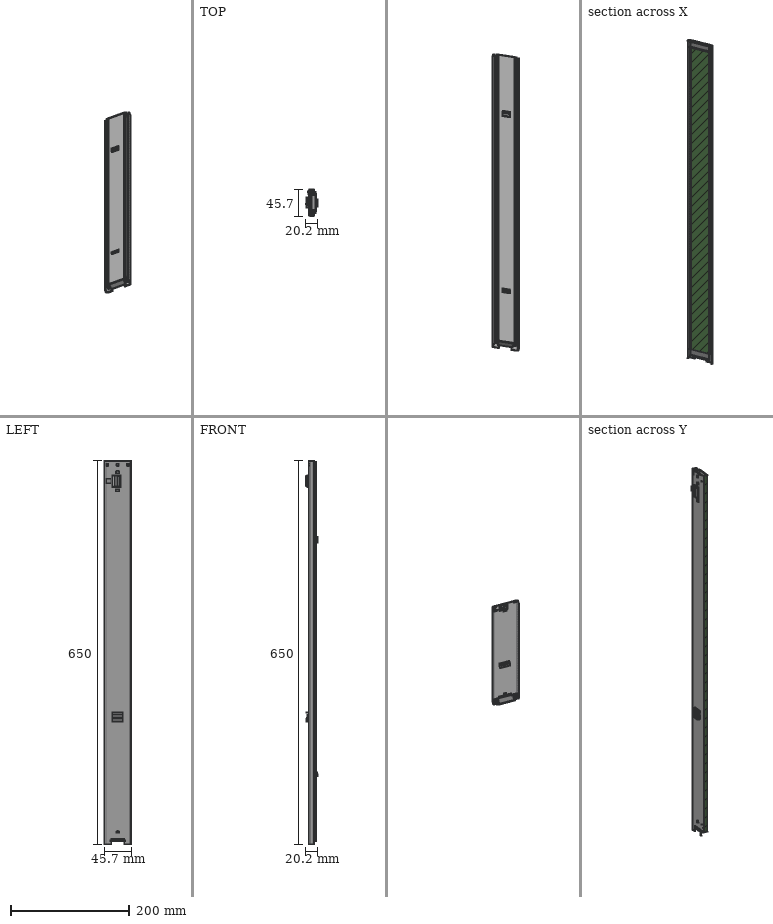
import cadquery as cq
import math


length = 650.0
outer_height = 45.7
overall_depth = 20.19
z_top = length / 2
z_bottom = -length / 2
x_min = -overall_depth / 2
x_max = overall_depth / 2

slide_depth = 12.7
outer_sheet = 1.5
middle_sheet = 1.2
inner_sheet = 1.5
cage_sheet = 0.6
gap = 0.4
outer_back = -5.0
outer_inside = outer_back + outer_sheet
outer_cage_back = outer_inside + gap
middle_back = outer_cage_back + cage_sheet + gap
inner_cage_back = middle_back + middle_sheet + gap
inner_flange_tip = inner_cage_back + cage_sheet + gap
inner_front = outer_back + slide_depth
middle_front = inner_front - 0.5
middle_tip_round = 1.1

outer_half = outer_height / 2
middle_half = 18.0
inner_half = 15.0
outer_cage_half = 19.6
inner_cage_half = 16.2

web_bend_radius = 2.9
roll_start = 2.0
roll_radius = 3.2
roll_angle = 60.0

inner_bottom = z_bottom + 5.0
middle_bottom = z_bottom + 7.3
members_top = z_top - 1.5
cage_end_setback = 12.0

notch_width = 21.6
notch_height = 9.5
corner_window = 3.6
corner_window_y = 17.4
end_setback = 7.0
end_hole_diameter = 4.4
lower_hole_width = 4.8
lower_hole_height = 3.4
lower_hole_z = z_bottom + 21.0
slot_width = 6.0
slot_height = 4.0
slot_offset = 15.5

lever_z = 290.5
lever_length = 20.0
lever_y_high = 9.0
lever_y_low = -5.4
lever_wall = -7.2
lever_shelf = -8.7
lever_shelf_y_high = 4.9
lever_shelf_y_low = 1.0
lever_peak_y = -2.9
lever_bevel_length = 1.8
lever_bevel_depth = 3.6
lug_y_tip = 19.5
lug_y_base = 12.5
lug_width = 8.0
lug_height = 2.0

catch_z_top = -101.0
catch_z_bottom = -117.0
catch_width = 17.6
catch_reach = 3.8
catch_sheet = 1.0
catch_step = 1.2
bridge_z_top = -105.5
bridge_bend_high_z = -109.5
bridge_bend_low_z = -112.5

hook_width = 13.0
hook_y = -1.0
upper_hook_z = 186.0
upper_hook_height = 5.0
upper_lip_z = 193.2
upper_lip_height = 3.2
lower_hook_z = -209.5
lower_hook_height = 9.0
lower_hook_flat = 3.0

stop_half_width = 13.0
stop_front = inner_front - inner_sheet


def box(x0, x1, y0, y1, z0, z1):
    return cq.Workplane("XY").box(x1 - x0, y1 - y0, z1 - z0, centered=False).translate((x0, y0, z0))


def channel(x_web, x_tip, half, sheet, z0, z1):
    """U channel whose flanges run from the web's outer face at x_web to x_tip."""
    toward_tip = math.copysign(1, x_tip - x_web)
    x_web_inside = x_web + toward_tip * sheet
    x_low, x_high = sorted((x_web, x_tip))
    hollow_low, hollow_high = sorted((x_web_inside, x_tip))
    body = box(x_low, x_high, -half, half, z0, z1)
    return body.cut(box(hollow_low, hollow_high, sheet - half, half - sheet, z0, z1))


def rolled_flange():
    """+Y flange of the outer member: a straight wall with its tip rolled inward."""
    centre_y = outer_half - roll_radius
    inner_radius = roll_radius - outer_sheet

    def on_roll(radius, degrees):
        angle = math.radians(degrees)
        return (roll_start + radius * math.sin(angle), centre_y + radius * math.cos(angle))

    return (
        cq.Workplane("XY", origin=(0, 0, z_bottom))
        .moveTo(outer_back, outer_half)
        .lineTo(roll_start, outer_half)
        .threePointArc(on_roll(roll_radius, roll_angle / 2), on_roll(roll_radius, roll_angle))
        .lineTo(*on_roll(inner_radius, roll_angle))
        .threePointArc(on_roll(inner_radius, roll_angle / 2), on_roll(inner_radius, 0))
        .lineTo(outer_inside, outer_half - outer_sheet)
        .lineTo(outer_back, outer_half - outer_sheet)
        .close()
        .extrude(length)
    )


def outer_profile():
    """Plain outer member: web and two rolled flanges, with round bends between them."""
    body = box(outer_back, outer_inside, -outer_half, outer_half, z_bottom, z_top)
    flange = rolled_flange()
    body = body.union(flange).union(flange.mirror("XZ"))
    for side in (-1, 1):
        outside_corner = cq.selectors.NearestToPointSelector((outer_back, side * outer_half, 0))
        body = body.edges("|Z").edges(outside_corner).fillet(web_bend_radius)
        flange_inside = side * (outer_half - outer_sheet)
        inside_corner = cq.selectors.NearestToPointSelector((outer_inside, flange_inside, 0))
        body = body.edges("|Z").edges(inside_corner).fillet(web_bend_radius - outer_sheet)
    return body


def web_window(y, z, width, height):
    """Rectangular cutter through the outer web."""
    return box(outer_back, outer_inside, y - width / 2, y + width / 2, z - height / 2, z + height / 2)


def arched_window(z, width, height):
    """Window on the web's centre line with its upper edge arched."""
    half = width / 2
    return (
        cq.Workplane("YZ", origin=(outer_back, 0, z))
        .moveTo(-half, -height / 2)
        .lineTo(half, -height / 2)
        .lineTo(half, 0)
        .threePointArc((0, height / 2), (-half, 0))
        .close()
        .extrude(outer_sheet)
    )


def web_hole(z, diameter):
    """Round cutter through the outer web, on its centre line."""
    return cq.Workplane("YZ", origin=(outer_back, 0, z)).circle(diameter / 2).extrude(outer_sheet)


def side_prism(points, y, width):
    """Prism along Y, centred on y, from an outline of (x, z) points."""
    return cq.Workplane("XZ", origin=(0, y + width / 2, 0)).polyline(points).close().extrude(width)


def web_catch():
    """Catch bent out of the outer web: a square shelf above a stepped bridge."""
    tip = outer_back - catch_reach
    step = tip + catch_step
    half = catch_width / 2
    shelf = box(tip, outer_inside, -half, half, catch_z_top - catch_sheet, catch_z_top)
    bridge = side_prism(
        [
            (outer_inside, bridge_z_top),
            (step, bridge_z_top),
            (step, bridge_bend_high_z),
            (tip, bridge_bend_low_z),
            (tip, catch_z_bottom),
            (outer_inside, catch_z_bottom),
            (outer_inside, catch_z_bottom + catch_sheet),
            (tip + catch_sheet, catch_z_bottom + catch_sheet),
            (tip + catch_sheet, bridge_bend_low_z),
            (step + catch_sheet, bridge_bend_high_z),
            (outer_inside, bridge_bend_high_z),
        ],
        0,
        catch_width,
    )
    return shelf.union(bridge)


def locating_lug():
    """Wedge on the outer web beside the lever, highest toward +Y."""
    return (
        cq.Workplane("XY", origin=(0, 0, lever_z - lug_width / 2))
        .moveTo(outer_back, lug_y_base)
        .lineTo(outer_back - lug_height, lug_y_tip)
        .lineTo(outer_back, lug_y_tip)
        .close()
        .extrude(lug_width)
    )


def make_outer_member():
    body = outer_profile()
    body = body.cut(web_window(0, z_bottom + notch_height / 2, notch_width, notch_height))
    for side in (-1, 1):
        body = body.cut(web_window(side * corner_window_y, z_top - end_setback, corner_window, corner_window))
    body = body.cut(web_hole(z_top - end_setback, end_hole_diameter))
    body = body.cut(web_window(0, lever_z - slot_offset, slot_width, slot_height))
    body = body.cut(arched_window(lever_z + slot_offset, slot_width, slot_height))
    body = body.cut(arched_window(lower_hole_z, lower_hole_width, lower_hole_height))
    catch_height = catch_z_top - catch_z_bottom
    body = body.cut(web_window(0, catch_z_bottom + catch_height / 2, catch_width, catch_height))
    return body.union(web_catch()).union(locating_lug())


def make_middle_member():
    """Middle channel with the outer corners of its flange tips rounded."""
    body = channel(middle_back, middle_front, middle_half, middle_sheet, middle_bottom, members_top)
    for side in (-1, 1):
        tip_corner = cq.selectors.NearestToPointSelector((middle_front, side * middle_half, 0))
        body = body.edges("|Z").edges(tip_corner).fillet(middle_tip_round)
    return body


def make_inner_member():
    """Inner channel with two hooks standing on its web."""
    body = channel(inner_front, inner_flange_tip, inner_half, inner_sheet, inner_bottom, members_top)
    half = hook_width / 2
    for z, height in ((upper_hook_z, upper_hook_height), (upper_lip_z, upper_lip_height)):
        body = body.union(box(inner_front, x_max, hook_y - half, hook_y + half, z, z + height))
    lower_hook = side_prism(
        [
            (inner_front, lower_hook_z),
            (x_max, lower_hook_z),
            (x_max, lower_hook_z + lower_hook_flat),
            (inner_front, lower_hook_z + lower_hook_height),
        ],
        hook_y,
        hook_width,
    )
    return body.union(lower_hook)


def make_cage(x_web, x_tip, half):
    """Ball cage: a thin channel, set back from both ends of the middle member."""
    return channel(x_web, x_tip, half, cage_sheet, middle_bottom + cage_end_setback, z_top - cage_end_setback)


def make_lever():
    """Ridged lever on the outer web, bevelled at both ends."""
    body = (
        cq.Workplane("XY", origin=(0, 0, lever_z - lever_length / 2))
        .moveTo(outer_back, lever_y_high)
        .lineTo(lever_wall, lever_y_high)
        .lineTo(lever_shelf, lever_shelf_y_high)
        .lineTo(lever_shelf, lever_shelf_y_low)
        .lineTo(x_min, lever_peak_y)
        .lineTo(lever_wall, lever_y_low)
        .lineTo(outer_back, lever_y_low)
        .close()
        .extrude(lever_length)
    )
    for end in (-1, 1):
        z_end = lever_z + end * lever_length / 2
        bevel = side_prism(
            [(x_min, z_end), (x_min + lever_bevel_depth, z_end), (x_min, z_end - end * lever_bevel_length)],
            0,
            outer_height,
        )
        body = body.cut(bevel)
    return body


def make_stop():
    """Stop block that fills the lower end of the slide, under the middle member."""
    return box(outer_inside, stop_front, -stop_half_width, stop_half_width, inner_bottom, middle_bottom)


outer_member = make_outer_member()
middle_member = make_middle_member()
inner_member = make_inner_member()
outer_cage = make_cage(outer_cage_back, roll_start, outer_cage_half)
inner_cage = make_cage(inner_cage_back, stop_front - gap, inner_cage_half)
lever = make_lever()
stop = make_stop()

result = cq.Compound.makeCompound(
    [
        outer_member.val(),
        middle_member.val(),
        inner_member.val(),
        outer_cage.val(),
        inner_cage.val(),
        lever.val(),
        stop.val(),
    ]
)